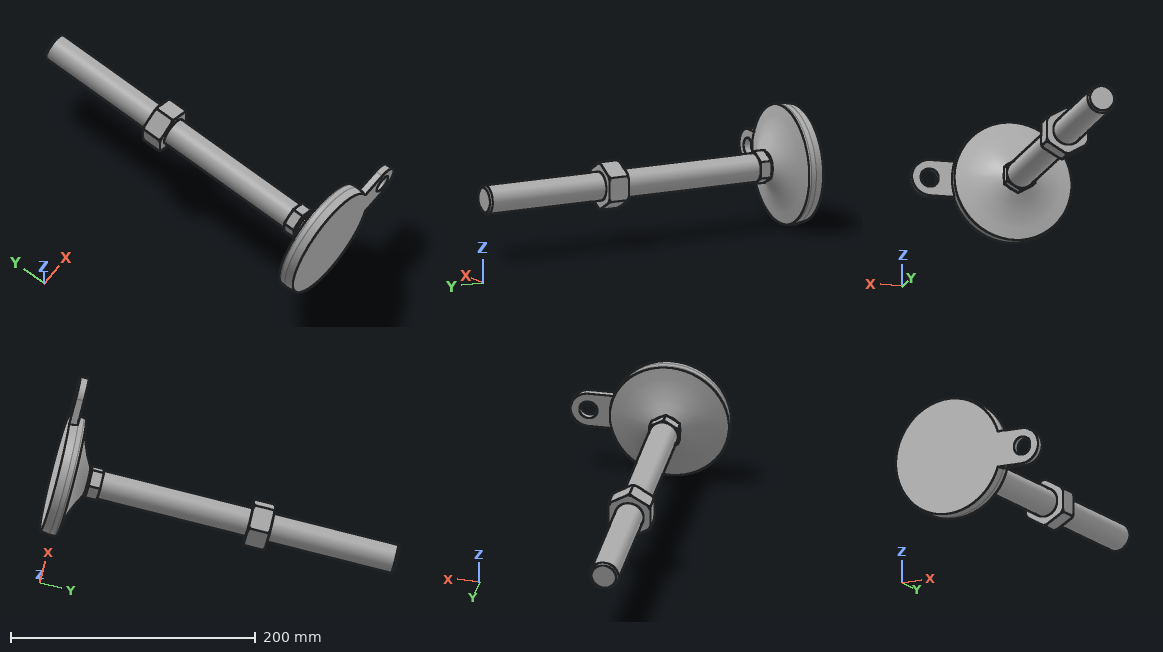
import cadquery as cq
import math

total_length = 288.5
total_width = 134.0

rim_diameter = 100.0
rim_radius = rim_diameter / 2
base_radius = 48.8
taper_height = 7.2
shoulder_height = 11.5
rim_height = 13.5
rim_top_radius = 49.5
cone_mid_radius = 26.8
cone_mid_height = 19.5
cone_top_radius = 11.8
cone_top_height = 27.0

lug_hole_diameter = 15.0
lug_radius = lug_hole_diameter
lug_thickness = 7.0
lug_end = total_width - rim_radius
lug_hole_x = lug_end - lug_radius

stud_diameter = 24.0
stud_chamfer = 1.7
neck_radius = 10.0
foot_hex_width = stud_diameter
foot_hex_start = 28.5
foot_hex_end = 38.5
nut_width = 35.0
nut_start = 163.5
nut_height = 18.0
nut_corner_chamfer = 1.2


def section_at(y):
    """Workplane across the axis at height y, extruding towards +Y."""
    return cq.Workplane("XZ", origin=(0, y, 0))


def cylinder(radius, start, end):
    return section_at(start).circle(radius).extrude(start - end)


def hexagon(width, start, end):
    """Hexagonal prism with flats facing +X and -X."""
    corner_diameter = width / math.cos(math.pi / 6)
    return (
        section_at(start)
        .transformed(rotate=(0, 0, 90))
        .polygon(6, corner_diameter)
        .extrude(start - end)
    )


def make_foot():
    return (
        cq.Workplane("XY")
        .lineTo(base_radius, 0)
        .lineTo(rim_radius, taper_height)
        .lineTo(rim_radius, shoulder_height)
        .lineTo(rim_top_radius, rim_height)
        .threePointArc((cone_mid_radius, cone_mid_height), (cone_top_radius, cone_top_height))
        .lineTo(0, cone_top_height)
        .close()
        .revolve(360, (0, 0), (0, 1))
    )


def make_lug():
    bar = (
        section_at(0)
        .center(lug_hole_x / 2, 0)
        .rect(lug_hole_x, 2 * lug_radius)
        .extrude(-lug_thickness)
    )
    end = section_at(0).center(lug_hole_x, 0).circle(lug_radius).extrude(-lug_thickness)
    hole = section_at(0).center(lug_hole_x, 0).circle(lug_hole_diameter / 2).extrude(-lug_thickness)
    return bar.union(end).cut(hole)


def make_stud():
    stud = cylinder(stud_diameter / 2, foot_hex_end, total_length)
    return stud.faces(">Y").chamfer(stud_chamfer)


def make_nut():
    nut_end = nut_start + nut_height
    corner_radius = nut_width / math.cos(math.pi / 6) / 2
    envelope = cylinder(corner_radius, nut_start, nut_end).faces("<Y or >Y").chamfer(nut_corner_chamfer)
    return hexagon(nut_width, nut_start, nut_end).intersect(envelope)


neck = cylinder(neck_radius, cone_top_height, foot_hex_start)
foot_hex = hexagon(foot_hex_width, foot_hex_start, foot_hex_end)

result = make_foot().union(make_lug()).union(neck).union(foot_hex).union(make_stud()).union(make_nut())